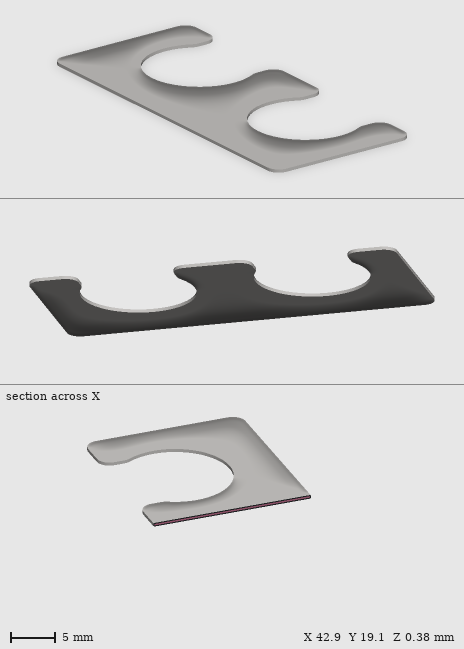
import cadquery as cq

length = 42.8625
depth = 19.05
thickness = 0.381
edge_radius = 1.524

notch_diameter = 13.208
notch_spacing = 20.32
notch_center_y = 2.8575
mouth_width = 11.176


def make_plate():
    return cq.Workplane("XY").rect(length, depth).extrude(thickness)


def make_notch(center_x):
    """Cylinder joined to a straight mouth that ends at the +Y edge."""
    mouth_length = depth / 2 - notch_center_y
    circle = (
        cq.Workplane("XY")
        .center(center_x, notch_center_y)
        .circle(notch_diameter / 2)
        .extrude(thickness)
    )
    mouth = (
        cq.Workplane("XY")
        .center(center_x, notch_center_y + mouth_length / 2)
        .rect(mouth_width, mouth_length)
        .extrude(thickness)
    )
    return circle.union(mouth)


result = make_plate()
for side in (-1, 1):
    result = result.cut(make_notch(side * notch_spacing / 2))

sharp_edges = result.edges("|Z").filter(
    lambda edge: abs(edge.Center().y - notch_center_y) > edge_radius
)
result = result.newObject(sharp_edges.vals()).fillet(edge_radius)